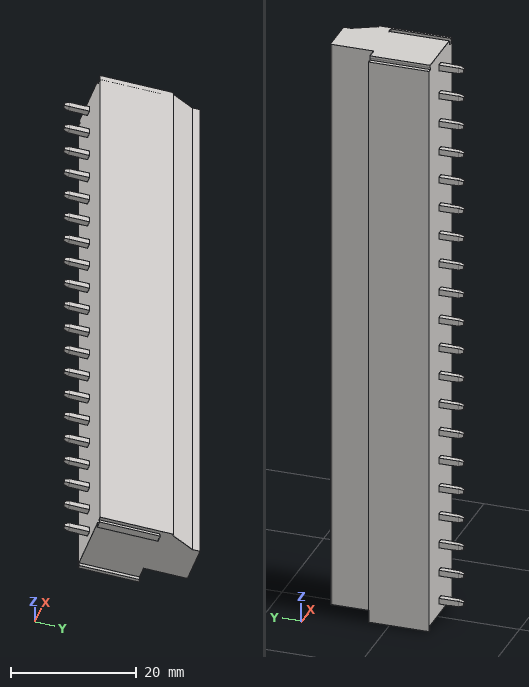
import cadquery as cq

length = 100.6
width = 11.2
overall_depth = 21.6
pin_length = 4.1
depth = overall_depth - pin_length
key_height = 0.8
body_length = length - key_height

ledge_depth = 10.2
back_left = 2.4
back_radius = 0.3
back_right = 8.9
slope_start = 16.2
slope_end = 12.3
shoulder = 0.3

side_key_root = 0.4
side_key_tip = 0.6
dovetail_center = 10.3
dovetail_root = 0.6
dovetail_tip = 1.2

groove_depth = key_height
side_groove_width = 0.6
side_undercut = 0.1
groove_left = 9.8
groove_width = 0.9
groove_slant = 0.3

pin_count = 20
pin_size = 1.0
pin_tip = 0.8
pin_tip_size = 0.6
pin_x = 5.2
pin_span = 95.0
pin_pitch = pin_span / (pin_count - 1)
first_pin_z = 3.2


def make_housing():
    """Stepped profile with a sloped face, extruded along Z, one back edge rounded."""
    profile = [
        (0, 0),
        (width, 0),
        (width, slope_end),
        (width - shoulder, slope_end),
        (back_right, slope_start),
        (back_right, depth),
        (back_left, depth),
        (back_left, ledge_depth),
        (0, ledge_depth),
    ]
    housing = cq.Workplane("XY").workplane(offset=key_height).polyline(profile).close().extrude(body_length)
    back_left_edge = cq.selectors.NearestToPointSelector((back_left, depth, key_height + body_length / 2))
    return housing.edges("|Z").edges(back_left_edge).fillet(back_radius)


def extrude_along_block(outline):
    """Extrude an X-Z outline along Y over the full front block."""
    return cq.Workplane("XZ").polyline(outline).close().extrude(-ledge_depth)


def make_keys():
    """Undercut side key and dovetail key hanging down from the bottom end."""
    side_key = [(0, key_height), (side_key_root, key_height), (side_key_tip, 0), (0, 0)]
    dovetail = [
        (dovetail_center - dovetail_root / 2, key_height),
        (dovetail_center + dovetail_root / 2, key_height),
        (dovetail_center + dovetail_tip / 2, 0),
        (dovetail_center - dovetail_tip / 2, 0),
    ]
    return extrude_along_block(side_key).union(extrude_along_block(dovetail))


def make_grooves():
    """Cutters in the top end: an undercut side step and a slanted groove."""
    floor = length - groove_depth
    undercut_start = length - groove_depth / 2
    side_groove = [
        (0, length),
        (side_groove_width, length),
        (side_groove_width, undercut_start),
        (side_groove_width + side_undercut, floor),
        (0, floor),
    ]
    slanted_groove = [
        (groove_left, length),
        (groove_left + groove_width, length),
        (groove_left + groove_width + groove_slant, floor),
        (groove_left + groove_slant, floor),
    ]
    return extrude_along_block(side_groove).union(extrude_along_block(slanted_groove))


def make_pin(z):
    """Square pin with a tapered end, pointing toward -Y."""
    shank_length = pin_length - pin_tip
    shank = cq.Workplane("XZ").center(pin_x, z).rect(pin_size, pin_size).extrude(shank_length)
    tip = (
        shank.faces("<Y").workplane(centerOption="CenterOfMass").rect(pin_size, pin_size)
        .workplane(offset=pin_tip).rect(pin_tip_size, pin_tip_size)
        .loft(combine=False)
    )
    return shank.union(tip)


result = make_housing().union(make_keys()).cut(make_grooves())
for index in range(pin_count):
    result = result.union(make_pin(first_pin_z + index * pin_pitch))